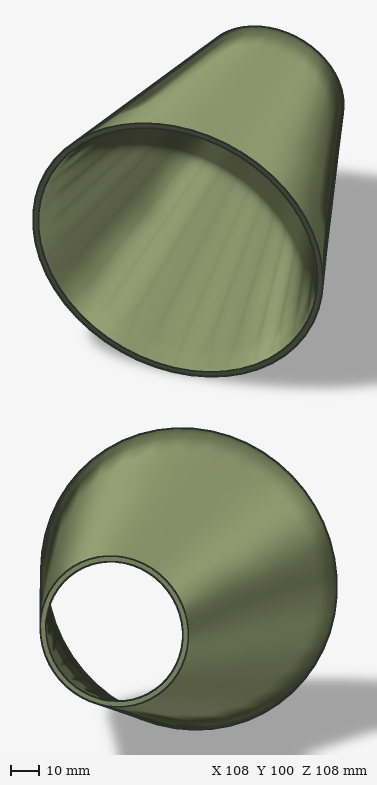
import cadquery as cq
import math

large_diameter = 108.0
small_diameter = 54.0
length = 100.0
wall = 2.0

large_radius = large_diameter / 2
small_radius = small_diameter / 2
half_angle = math.atan((large_radius - small_radius) / length)
radial_wall = wall / math.cos(half_angle)


def cone_frustum(start_radius, end_radius, height):
    """Solid cone frustum from Y = 0 (start) to Y = height (end)."""
    profile = [
        (0, 0),
        (start_radius, 0),
        (end_radius, height),
        (0, height),
    ]
    return cq.Workplane("XY").polyline(profile).close().revolve(360, (0, 0, 0), (0, 1, 0))


outer_cone = cone_frustum(large_radius, small_radius, length)
bore = cone_frustum(large_radius - radial_wall, small_radius - radial_wall, length)

result = outer_cone.cut(bore)